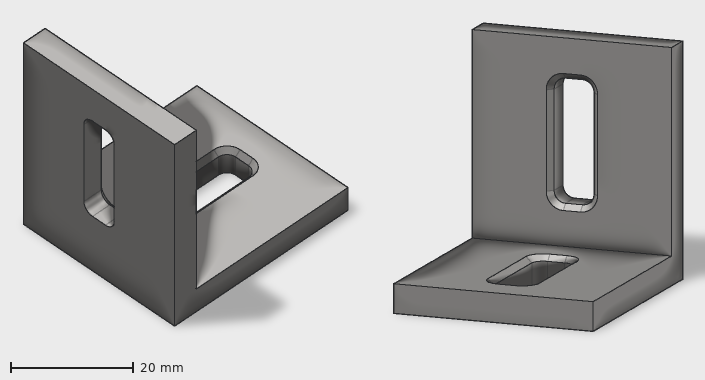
import cadquery as cq

width = 35.0
leg_length = 40.0
thickness = 5.0

slot_width = 7.0
slot_start = 12.0
slot_length = 21.0
slot_corner_radius = 2.0
slot_chamfer = 1.0
slot_center = slot_start + slot_length / 2


def rounded_bar(bottom, bar_width, bar_length, corner_radius):
    """Upright rounded bar at the slot position, one leg thickness tall."""
    return (
        cq.Workplane("XY", origin=(0, slot_center, bottom))
        .rect(bar_width, bar_length)
        .extrude(thickness)
        .edges("|Z")
        .fillet(corner_radius)
    )


def slot_cutter():
    """Slot tool for the horizontal leg, including the chamfer at its inner face."""
    through_slot = rounded_bar(0, slot_width, slot_length, slot_corner_radius)
    flare = rounded_bar(
        thickness - slot_chamfer,
        slot_width + 2 * slot_chamfer,
        slot_length + 2 * slot_chamfer,
        slot_corner_radius + slot_chamfer,
    )
    return through_slot.union(flare.faces("<Z").chamfer(slot_chamfer))


bracket = (
    cq.Workplane("YZ")
    .polyline([
        (0, 0),
        (leg_length, 0),
        (leg_length, thickness),
        (thickness, thickness),
        (thickness, leg_length),
        (0, leg_length),
    ])
    .close()
    .extrude(width / 2, both=True)
)

horizontal_slot = slot_cutter()
vertical_slot = horizontal_slot.rotate((0, 0, 0), (0, 1, 1), 180)

result = bracket.cut(horizontal_slot).cut(vertical_slot)